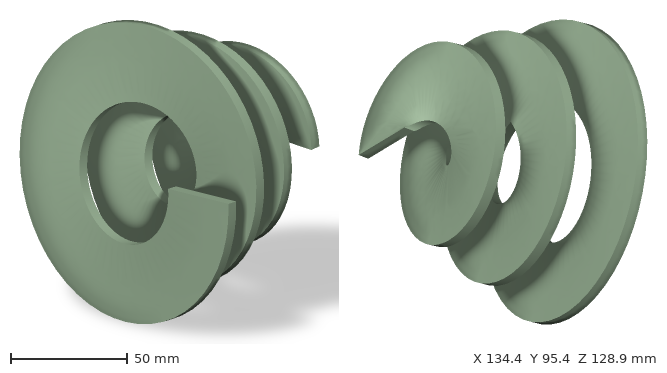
import cadquery as cq
import math

outer_radius = 69.9
strip_width = 35.0
strip_thickness = 5.0
pitch = 30.0
turns = 3
cone_angle = 20.0

mid_radius = outer_radius - strip_width / 2


def conical_helix():
    """Path of the strip centre about +Z, narrowing as it rises."""
    slope_pitch = pitch / math.cos(math.radians(cone_angle))
    return cq.Wire.makeHelix(slope_pitch, turns * slope_pitch, mid_radius, angle=-cone_angle)


def coil():
    """Sweep the strip section, drawn in the XZ plane, along the helix."""
    section = cq.Workplane("XZ").center(mid_radius, 0).rect(strip_width, strip_thickness)
    return section.sweep(cq.Workplane(obj=conical_helix()), isFrenet=True)


result = coil().rotate((0, 0, 0), (1, 0, 0), -90)